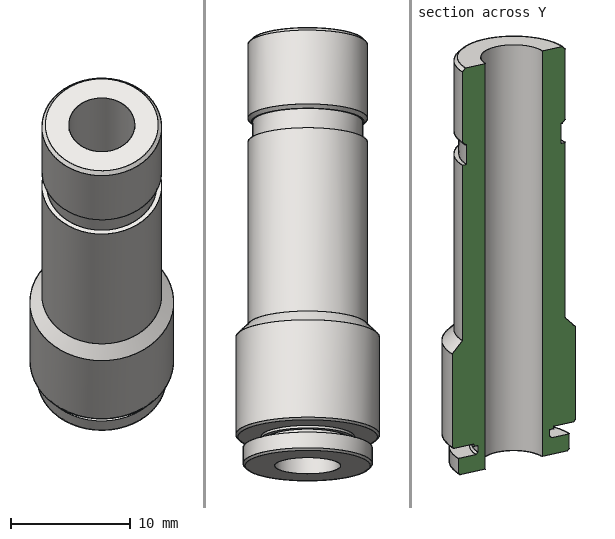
import cadquery as cq


bore_diameter = 5.5
neck_diameter = 7.0
collar_diameter = 7.8
groove_diameter = 9.2
stem_diameter = 10.0
ring_diameter = 10.8
body_diameter = 12.0

total_height = 36.5
ring_top = 1.55
collar_bottom = 2.25
body_bottom = 2.5
shoulder_top = 12.05
groove_bottom = 27.8
groove_top = 29.55

edge_chamfer = 0.2
neck_root_chamfer = 0.2
head_chamfer = 0.3
shoulder_chamfer = (body_diameter - stem_diameter) / 2


def cylinder(diameter, bottom, top):
    """Solid cylinder on the Z axis between two heights."""
    return cq.Workplane("XY").workplane(offset=bottom).circle(diameter / 2).extrude(top - bottom)


release_ring = cylinder(ring_diameter, 0, ring_top).faces("<Z").chamfer(edge_chamfer)

neck = cylinder(neck_diameter, ring_top, collar_bottom)
neck_root = cylinder(
    neck_diameter + 2 * neck_root_chamfer, ring_top - neck_root_chamfer, ring_top + neck_root_chamfer
).faces(">Z").chamfer(neck_root_chamfer)
collar = cylinder(collar_diameter, collar_bottom, body_bottom)

body = (
    cylinder(body_diameter, body_bottom, shoulder_top)
    .faces(">Z").chamfer(shoulder_chamfer)
    .faces("<Z").chamfer(edge_chamfer)
)

stem = cylinder(stem_diameter, shoulder_top, groove_bottom)
groove_core = cylinder(groove_diameter, groove_bottom, groove_top)
head = cylinder(stem_diameter, groove_top, total_height).faces("<Z or >Z").chamfer(head_chamfer)

bore = cylinder(bore_diameter, 0, total_height)
result = release_ring
for section in (neck_root, neck, collar, body, stem, groove_core, head):
    result = result.union(section)
result = result.cut(bore)